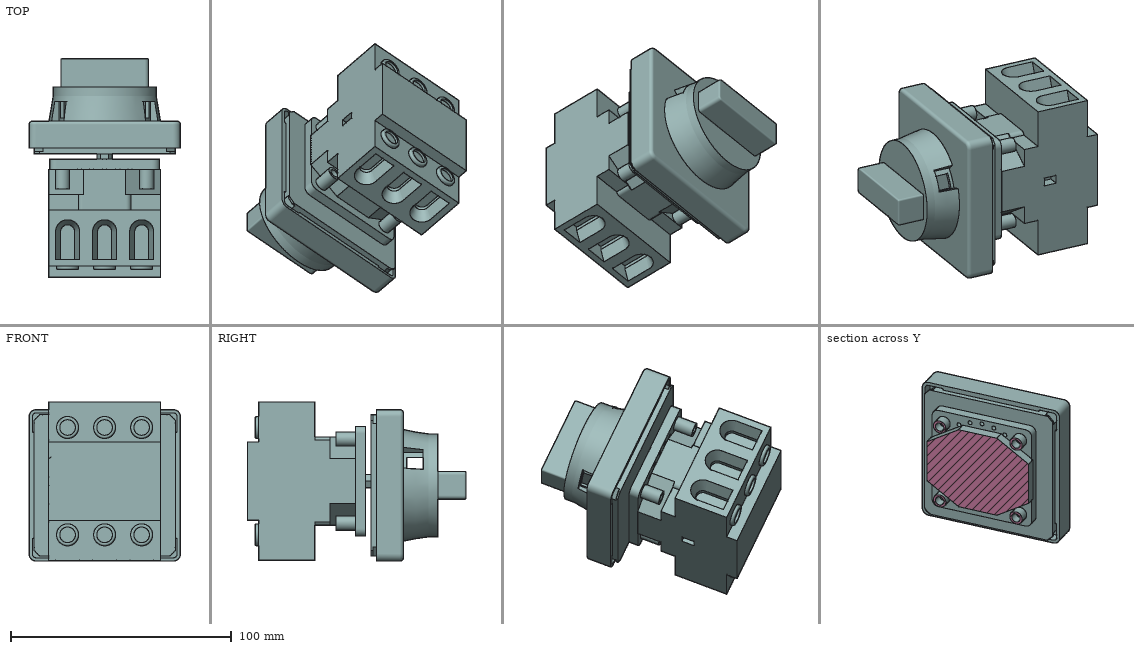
import cadquery as cq
import math


OVERALL_LENGTH = 98.98

BODY_WIDTH = 50.8
CORE_HEIGHT = 37.1
RIDGE_HEIGHT = 40.0
RIDGE_WIDTH = 19.7
RIDGE_SHOULDER = 2.0
TERMINAL_HEIGHT = 71.83
TERMINAL_FRONT = -18.4
TERMINAL_DEPTH = 25.4
TERMINAL_BACK = TERMINAL_FRONT - TERMINAL_DEPTH
CENTRE_BLOCK_HEIGHT = 35.56
BODY_LENGTH = 48.9
CORNER_CUT_DEPTH = 11.43
CORNER_CUT_SIDE_Z = 10.16
CORNER_CUT_TOP_X = 9.53

TERMINAL_PITCH = 16.76
SCREW_Z = 24.3
SCREW_DIAMETER = 9.97
SCREW_HEIGHT = 1.65
SCREW_RIM_FILLET = 0.72
RECESS_DIAMETER = 7.07
RECESS_DEPTH = 1.2
ENTRY_WIDTH = 10.9
ENTRY_INNER_WIDTH = 6.35
ENTRY_ARCH_Y = -28.3
ENTRY_END_Y = -40.8
ENTRY_TAPER_DEPTH = 6.0
ENTRY_DEPTH = 7.9

SLOT_Y = -24.7
SLOT_LENGTH = 5.9
SLOT_HEIGHT = 3.9
SLOT_DEPTH = 5.0

FLANGE_SIZE = 49.7
FLANGE_THICKNESS = 4.57
FLANGE_RADIUS = 3.2
POST_OFFSET = 19.05
POST_DIAMETER = 6.43
POST_BORE = 3.94
POST_LENGTH = 8.9
INDEX_HOLE_DIAMETER = 1.91
INDEX_CIRCLE_RADIUS = 22.86
INDEX_HOLE_COUNT = 5
INDEX_STEP_ANGLE = 15.0

SHAFT_ACROSS_CORNERS = 7.07

PANEL_UNIT_X = 0.06
PANEL_UNIT_Z = -1.905

BEZEL_SIZE = 68.58
BEZEL_RADIUS = 3.2
BEZEL_EDGE_FILLET = 1.6
BEZEL_BACK = 9.53
BEZEL_FRONT = 21.8
PLATE_SIZE = 64.0
PLATE_BACK = 7.0
PLATE_STEP = 7.95
PLATE_BACK_CHAMFER = 2.54
PLATE_FRONT_CHAMFER = 4.0
POCKET_WALL = 1.5
POCKET_LENGTH = 8.9
POCKET_DEPTH = 5.0
POCKET_END_RADIUS = 0.75

COLLAR_DIAMETER = 46.74
COLLAR_BASE_DIAMETER = 50.6
CONE_FRONT = 33.1
COLLAR_FRONT = 37.3
COLLAR_BORE = 43.56
SLEEVE_DIAMETER = 42.04
SLEEVE_WALL = 1.52
SLEEVE_SILL = 1.5
SLEEVE_WINDOW_BACK = BEZEL_FRONT + SLEEVE_SILL
WINDOW_FRONT = 30.6
WINDOW_LOW_ANGLE = 18.0
WINDOW_HIGH_ANGLE = 42.8
SLEEVE_WINDOW_TOP = 12.6

KNOB_WIDTH = 39.8
KNOB_THICKNESS = 12.7
KNOB_TIP = OVERALL_LENGTH - BODY_LENGTH
KNOB_EDGE_FILLET = 0.76
KNOB_POINTER_FILLET = 1.67
KNOB_TIP_FILLET = 0.7


def at_y(y):
    """Sketch plane facing +Y at height y, with local x along -X and local y along +Z."""
    return cq.Workplane("XZ", origin=(0, y, 0)).transformed(rotate=(0, 180, 0))


def block(width, height, y_back, y_front):
    return at_y(y_back).rect(width, height).extrude(y_front - y_back)


def cylinder(diameter, y_back, y_front, x=0.0, z=0.0):
    return at_y(y_back).center(-x, z).circle(diameter / 2).extrude(y_front - y_back)


def make_flare(back_diameter, front_diameter, y_back, y_front):
    back = at_y(y_back).circle(back_diameter / 2)
    return back.workplane(offset=y_front - y_back).circle(front_diameter / 2).loft(ruled=True)


def make_ridge():
    """Raised band along the top of the core, rounded down to the core at both sides."""
    ridge_x = RIDGE_WIDTH / 2
    ridge_z = RIDGE_HEIGHT / 2
    foot_x = ridge_x + RIDGE_SHOULDER
    foot_z = CORE_HEIGHT / 2
    half = (
        at_y(TERMINAL_FRONT)
        .moveTo(0, foot_z)
        .lineTo(0, ridge_z)
        .lineTo(ridge_x, ridge_z)
        .tangentArcPoint((foot_x, foot_z), relative=False)
        .close()
        .extrude(-CORNER_CUT_DEPTH - TERMINAL_FRONT)
    )
    return half.union(half.mirror("YZ"))


def make_core():
    """Front half of the body: ridged section behind an octagonal front section."""
    core = block(BODY_WIDTH, CORE_HEIGHT, TERMINAL_FRONT, -CORNER_CUT_DEPTH)
    ridge = make_ridge()
    core = core.union(ridge).union(ridge.mirror("XY"))
    side_x = BODY_WIDTH / 2
    top_z = RIDGE_HEIGHT / 2
    octagon = [
        (side_x, -CORNER_CUT_SIDE_Z),
        (side_x, CORNER_CUT_SIDE_Z),
        (CORNER_CUT_TOP_X, top_z),
        (-CORNER_CUT_TOP_X, top_z),
        (-side_x, CORNER_CUT_SIDE_Z),
        (-side_x, -CORNER_CUT_SIDE_Z),
        (-CORNER_CUT_TOP_X, -top_z),
        (CORNER_CUT_TOP_X, -top_z),
    ]
    return core.union(at_y(-CORNER_CUT_DEPTH).polyline(octagon).close().extrude(CORNER_CUT_DEPTH))


def entry_outline(plane, width):
    """Arch with straight sides and a flat end."""
    half = width / 2
    return (
        plane.moveTo(-half, ENTRY_END_Y)
        .lineTo(half, ENTRY_END_Y)
        .lineTo(half, ENTRY_ARCH_Y)
        .threePointArc((0, ENTRY_ARCH_Y + half), (-half, ENTRY_ARCH_Y))
        .close()
    )


def make_wire_entry():
    """Tapered wire entry sunk from the top of the terminal block."""
    top = TERMINAL_HEIGHT / 2
    mouth = entry_outline(cq.Workplane("XY", origin=(0, 0, top)), ENTRY_WIDTH)
    taper = entry_outline(mouth.workplane(offset=-ENTRY_TAPER_DEPTH), ENTRY_INNER_WIDTH).loft(ruled=True)
    floor_plane = cq.Workplane("XY", origin=(0, 0, top - ENTRY_DEPTH))
    shank = entry_outline(floor_plane, ENTRY_INNER_WIDTH).extrude(ENTRY_DEPTH)
    return taper.union(shank)


def make_screw(x, z):
    """Terminal screw head with a rounded rim and a round recess."""
    face = TERMINAL_BACK - SCREW_HEIGHT
    head = cylinder(SCREW_DIAMETER, face, TERMINAL_BACK, x, z).faces("<Y").edges().fillet(SCREW_RIM_FILLET)
    return head.cut(cylinder(RECESS_DIAMETER, face, face + RECESS_DEPTH, x, z))


def make_body():
    body = make_core()
    body = body.union(block(BODY_WIDTH, TERMINAL_HEIGHT, TERMINAL_BACK, TERMINAL_FRONT))
    body = body.union(block(BODY_WIDTH, CENTRE_BLOCK_HEIGHT, -BODY_LENGTH, TERMINAL_BACK))
    entry = make_wire_entry()
    lower_entry = entry.mirror("XY")
    for column in (-1, 0, 1):
        x = column * TERMINAL_PITCH
        body = body.cut(entry.translate((x, 0, 0))).cut(lower_entry.translate((x, 0, 0)))
        for z in (-SCREW_Z, SCREW_Z):
            body = body.union(make_screw(x, z))
    slot = cq.Workplane("XY").box(SLOT_DEPTH, SLOT_LENGTH, SLOT_HEIGHT)
    return body.cut(slot.translate(((SLOT_DEPTH - BODY_WIDTH) / 2, SLOT_Y, 0)))


def make_flange():
    """Square flange with an arc of index holes and four bored posts at the back."""
    flange = block(FLANGE_SIZE, FLANGE_SIZE, 0, FLANGE_THICKNESS).edges("|Y").fillet(FLANGE_RADIUS)
    for index in range(INDEX_HOLE_COUNT):
        angle = math.radians((index - (INDEX_HOLE_COUNT - 1) / 2) * INDEX_STEP_ANGLE)
        x = INDEX_CIRCLE_RADIUS * math.sin(angle)
        z = INDEX_CIRCLE_RADIUS * math.cos(angle)
        flange = flange.cut(cylinder(INDEX_HOLE_DIAMETER, 0, FLANGE_THICKNESS, x, z))
    for x in (-POST_OFFSET, POST_OFFSET):
        for z in (-POST_OFFSET, POST_OFFSET):
            post = cylinder(POST_DIAMETER, -POST_LENGTH, 0, x, z)
            flange = flange.union(post.cut(cylinder(POST_BORE, -POST_LENGTH, 0, x, z)))
    return flange


def make_shaft():
    hexagon = at_y(FLANGE_THICKNESS).polygon(6, SHAFT_ACROSS_CORNERS)
    return hexagon.extrude(PLATE_BACK - FLANGE_THICKNESS)


def make_plate(y_back, y_front, chamfer):
    return block(PLATE_SIZE, PLATE_SIZE, y_back, y_front).edges("|Y").chamfer(chamfer)


def make_corner_pockets():
    """Pockets in the back of the bezel, between its rim and the corners of the plate."""
    y_front = BEZEL_BACK + POCKET_DEPTH
    centre = (BEZEL_SIZE - POCKET_LENGTH) / 2 - POCKET_WALL
    corner = block(POCKET_LENGTH, POCKET_LENGTH, BEZEL_BACK, y_front)
    corner = corner.edges("|Y and >X and >Z").fillet(BEZEL_RADIUS - POCKET_WALL)
    corner = corner.edges("(|Y and >X and <Z) or (|Y and <X and >Z)").fillet(POCKET_END_RADIUS)
    corner = corner.translate((centre, 0, centre))
    upper_pair = corner.union(corner.mirror("YZ"))
    pockets = upper_pair.union(upper_pair.mirror("XY"))
    return pockets.cut(make_plate(BEZEL_BACK, y_front, PLATE_FRONT_CHAMFER))


def make_bezel():
    bezel = block(BEZEL_SIZE, BEZEL_SIZE, BEZEL_BACK, BEZEL_FRONT)
    bezel = bezel.edges("|Y").fillet(BEZEL_RADIUS)
    bezel = bezel.faces(">Y").edges().fillet(BEZEL_EDGE_FILLET)
    bezel = bezel.cut(make_corner_pockets())
    bezel = bezel.union(make_plate(PLATE_STEP, BEZEL_BACK, PLATE_FRONT_CHAMFER))
    return bezel.union(make_plate(PLATE_BACK, PLATE_STEP, PLATE_BACK_CHAMFER))


def make_window(side, y_back):
    """Wedge from the collar axis that opens a window on one side (+1 or -1 along X)."""
    reach = COLLAR_BASE_DIAMETER
    corners = [(0, 0)]
    for angle in (WINDOW_LOW_ANGLE, WINDOW_HIGH_ANGLE):
        turn = math.radians(angle)
        corners.append((side * reach * math.cos(turn), reach * math.sin(turn)))
    return at_y(y_back).polyline(corners).close().extrude(WINDOW_FRONT - y_back)


def make_collar():
    """Flared collar around a thin sleeve; both carry a window on each side."""
    collar = make_flare(COLLAR_BASE_DIAMETER, COLLAR_DIAMETER, BEZEL_FRONT, CONE_FRONT)
    collar = collar.cut(cylinder(COLLAR_BORE, BEZEL_FRONT, CONE_FRONT))
    sleeve = cylinder(SLEEVE_DIAMETER, BEZEL_FRONT, CONE_FRONT)
    sleeve_bore = SLEEVE_DIAMETER - 2 * SLEEVE_WALL
    sleeve = sleeve.cut(cylinder(sleeve_bore, BEZEL_FRONT, CONE_FRONT))
    below_sleeve_window_top = block(
        COLLAR_BASE_DIAMETER, 2 * SLEEVE_WINDOW_TOP, SLEEVE_WINDOW_BACK, WINDOW_FRONT
    )
    for side in (-1, 1):
        collar = collar.cut(make_window(side, BEZEL_FRONT))
        sleeve_window = make_window(side, SLEEVE_WINDOW_BACK).intersect(below_sleeve_window_top)
        sleeve = sleeve.cut(sleeve_window)
    front_disc = cylinder(COLLAR_DIAMETER, CONE_FRONT, COLLAR_FRONT)
    return front_disc.union(collar).union(sleeve)


def make_knob():
    knob = block(KNOB_WIDTH, KNOB_THICKNESS, COLLAR_FRONT, KNOB_TIP)
    knob = knob.edges("|Y and >X").fillet(KNOB_POINTER_FILLET)
    knob = knob.edges("|Y and <X").fillet(KNOB_EDGE_FILLET)
    return knob.faces(">Y").edges().fillet(KNOB_TIP_FILLET)


panel_unit = make_bezel().union(make_collar()).union(make_knob())
panel_unit = panel_unit.translate((PANEL_UNIT_X, 0, PANEL_UNIT_Z))
result = make_body().union(make_flange()).union(make_shaft()).union(panel_unit)